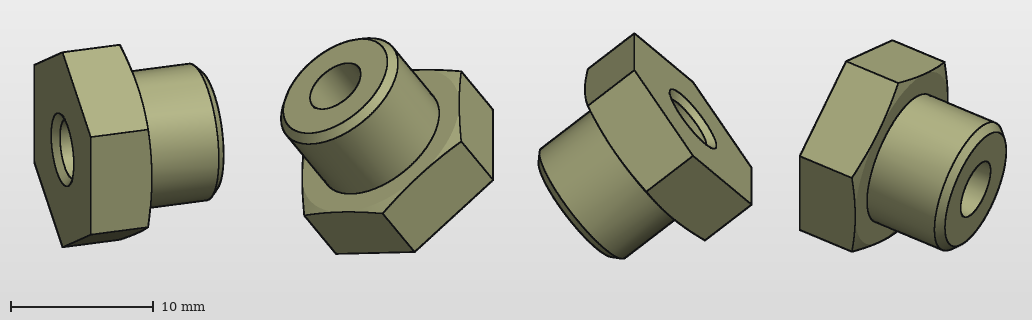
import cadquery as cq
import math

across_corners = 15.01
across_flats = across_corners * math.cos(math.radians(30))
head_thickness = 4.5
head_chamfer_angle = 15.0

total_length = 10.5
shank_diameter = 9.7
shank_chamfer = 0.54

hole_diameter = 4.2
countersink_diameter = 5.2
countersink_depth = (countersink_diameter - hole_diameter) / 2


def revolve_about_y(profile):
    """Revolve (radius, y) points around the Y axis."""
    return cq.Workplane("XY").polyline(profile).close().revolve(360, (0, 0, 0), (0, 1, 0))


def make_head():
    """Hexagonal prism whose rear corners are trimmed by a shallow cone."""
    corner_radius = across_corners / 2
    flat_radius = across_flats / 2
    corner_drop = (corner_radius - flat_radius) * math.tan(math.radians(head_chamfer_angle))
    corners = [
        (
            corner_radius * math.sin(math.radians(60 * i)),
            corner_radius * math.cos(math.radians(60 * i)),
        )
        for i in range(6)
    ]
    prism = cq.Workplane("XZ").polyline(corners).close().extrude(-head_thickness)
    envelope = revolve_about_y([
        (0, 0),
        (corner_radius, 0),
        (corner_radius, head_thickness - corner_drop),
        (flat_radius, head_thickness),
        (0, head_thickness),
    ])
    return prism.intersect(envelope)


def make_shank():
    """Cylinder through the head to the rear end, chamfered at the rear."""
    shank = cq.Workplane("XZ").circle(shank_diameter / 2).extrude(-total_length)
    return shank.faces(">Y").chamfer(shank_chamfer)


def make_bore():
    """Through hole with a conical countersink at y = 0."""
    hole_radius = hole_diameter / 2
    return revolve_about_y([
        (0, 0),
        (countersink_diameter / 2, 0),
        (hole_radius, countersink_depth),
        (hole_radius, total_length),
        (0, total_length),
    ])


result = make_head().union(make_shank()).cut(make_bore())